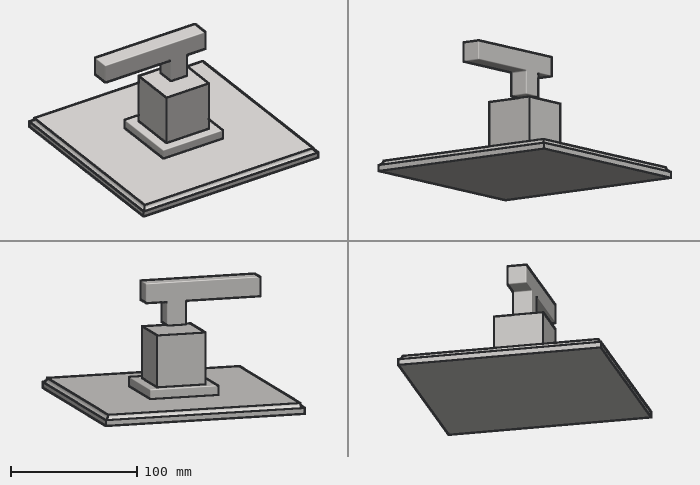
import cadquery as cq

plate_side = 165.1
plate_rim_height = 4.8
plate_height = 8.5
moulding_width = 2.8

flange_side = 56.8
flange_top = 15.8
post_side = 40.1
post_top = 57.6

handle_bottom = 62.4
handle_top = 97.2
handle_side = 15.8
lever_back = 25.5
lever_front = -69.8

edge_radius = 0.8


def square_block(side, bottom, top):
    """Square block centred on the Z axis between two heights."""
    return cq.Workplane("XY").workplane(offset=bottom).rect(side, side).extrude(top - bottom)


def moulding_cutter():
    """Bar that cuts the concave moulding along the +X border of the plate."""
    outer_x = plate_side / 2
    inner_x = outer_x - moulding_width
    moulding_depth = plate_height - plate_rim_height
    arc_radius = (moulding_width**2 + moulding_depth**2) / (2 * moulding_width)
    return (
        cq.Workplane("XZ")
        .moveTo(inner_x, plate_height)
        .radiusArc((outer_x, plate_rim_height), -arc_radius)
        .lineTo(outer_x, plate_height)
        .close()
        .extrude(plate_side / 2, both=True)
    )


def make_base():
    """Plate, flange and post as one solid."""
    plate = square_block(plate_side, 0, plate_height)
    cutter = moulding_cutter()
    for quarter_turn in range(4):
        plate = plate.cut(cutter.rotate((0, 0, 0), (0, 0, 1), 90 * quarter_turn))

    flange = square_block(flange_side, 0, flange_top)
    flange = flange.edges("|Z or >Z").fillet(edge_radius)
    post = square_block(post_side, 0, post_top)
    return plate.union(flange).union(post)


def make_handle():
    """Stem and lever as one solid with rounded edges."""
    half_side = handle_side / 2
    lever_bottom = handle_top - handle_side
    outline = [
        (-half_side, handle_bottom),
        (half_side, handle_bottom),
        (half_side, lever_bottom),
        (lever_back, lever_bottom),
        (lever_back, handle_top),
        (lever_front, handle_top),
        (lever_front, lever_bottom),
        (-half_side, lever_bottom),
    ]
    handle = cq.Workplane("YZ").polyline(outline).close().extrude(half_side, both=True)
    return handle.edges().fillet(edge_radius)


base = make_base()
handle = make_handle()

result = cq.Compound.makeCompound([base.val(), handle.val()])